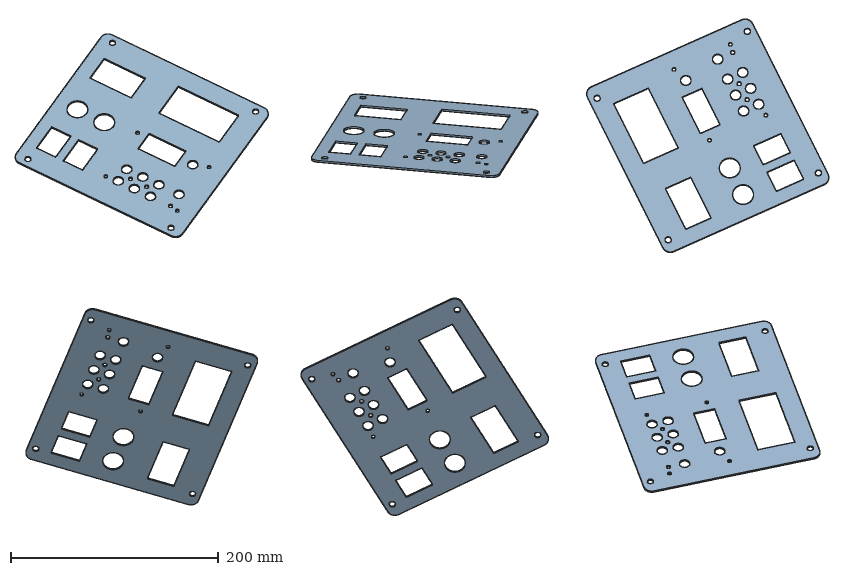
import cadquery as cq

PLATE_LENGTH = 186.0
PLATE_WIDTH = 176.0
PLATE_THICKNESS = 2.0
CORNER_RADIUS = 8.0

MOUNT_PITCH = 160.0
MOUNT_DIAMETER = 6.0

METER_SIZE = (46.0, 27.0)
METER_CENTER = (-54.5, 46.5)
SCREEN_SIZE = (67.5, 37.0)
SCREEN_CENTER = (34.5, 49.5)
DISPLAY_SIZE = (41.0, 21.0)
DISPLAY_CENTER = (25.5, -5.0)
ROCKER_SIZE = (21.5, 29.0)
ROCKER_Y = -50.0

SWITCH_COLUMNS = (-69.0, -39.0)
ROUND_SWITCH_DIAMETER = 20.0
ROUND_SWITCH_Y = -5.0

BUTTON_DIAMETER = 10.0
BUTTON_COLUMNS = (8.0, 26.0, 44.0)
UPPER_BUTTON_Y = -42.0
LOWER_BUTTON_Y = -58.0
TEST_X = 66.5
LASER_BUTTON_CENTER = (60.0, -5.0)

INDICATOR_DIAMETER = 4.0
INDICATOR_Y = (UPPER_BUTTON_Y + LOWER_BUTTON_Y) / 2

BOARD_SCREW_DIAMETER = 3.5
BOARD_SCREW_PITCH = (80.0, 60.0)
BOARD_CENTER = (35.0, -29.5)


def rectangle_corners(length, width, center=(0.0, 0.0)):
    """Corner points of a rectangle about the given centre."""
    center_x, center_y = center
    return [
        (center_x + side_x * length / 2, center_y + side_y * width / 2)
        for side_x in (-1, 1)
        for side_y in (-1, 1)
    ]


def cut_round_holes(plate, centers, diameter):
    """Drill through-holes of one diameter at all the given centres."""
    return plate.faces(">Z").workplane(origin=(0, 0, 0)).pushPoints(centers).hole(diameter)


def cut_windows(plate, centers, size):
    """Cut rectangular through-openings of one size at all the given centres."""
    return plate.faces(">Z").workplane(origin=(0, 0, 0)).pushPoints(centers).rect(*size).cutThruAll()


def make_plate():
    """Flat rectangular plate with rounded corners and its bottom face at Z = 0."""
    blank = cq.Workplane("XY").box(
        PLATE_LENGTH, PLATE_WIDTH, PLATE_THICKNESS, centered=(True, True, False)
    )
    return blank.edges("|Z").fillet(CORNER_RADIUS)


def cut_all_windows(plate):
    """Meter, screen, display and rocker switch openings."""
    plate = cut_windows(plate, [METER_CENTER], METER_SIZE)
    plate = cut_windows(plate, [SCREEN_CENTER], SCREEN_SIZE)
    plate = cut_windows(plate, [DISPLAY_CENTER], DISPLAY_SIZE)
    rocker_centers = [(x, ROCKER_Y) for x in SWITCH_COLUMNS]
    return cut_windows(plate, rocker_centers, ROCKER_SIZE)


def cut_switch_and_button_holes(plate):
    """Large round switches and all push buttons."""
    switch_centers = [(x, ROUND_SWITCH_Y) for x in SWITCH_COLUMNS]
    plate = cut_round_holes(plate, switch_centers, ROUND_SWITCH_DIAMETER)
    button_centers = [(x, y) for x in BUTTON_COLUMNS for y in (UPPER_BUTTON_Y, LOWER_BUTTON_Y)]
    button_centers += [(TEST_X, UPPER_BUTTON_Y), LASER_BUTTON_CENTER]
    return cut_round_holes(plate, button_centers, BUTTON_DIAMETER)


def cut_indicator_holes(plate):
    """One indicator midway between neighbouring button columns, one under the test button."""
    column_pairs = zip(BUTTON_COLUMNS, BUTTON_COLUMNS[1:])
    centers = [((left + right) / 2, INDICATOR_Y) for left, right in column_pairs]
    centers.append((TEST_X, LOWER_BUTTON_Y))
    return cut_round_holes(plate, centers, INDICATOR_DIAMETER)


def cut_screw_holes(plate):
    """Panel mounting holes and circuit board screw holes."""
    plate = cut_round_holes(plate, rectangle_corners(MOUNT_PITCH, MOUNT_PITCH), MOUNT_DIAMETER)
    board_centers = rectangle_corners(*BOARD_SCREW_PITCH, BOARD_CENTER)
    return cut_round_holes(plate, board_centers, BOARD_SCREW_DIAMETER)


panel = make_plate()
panel = cut_all_windows(panel)
panel = cut_switch_and_button_holes(panel)
panel = cut_indicator_holes(panel)
result = cut_screw_holes(panel)